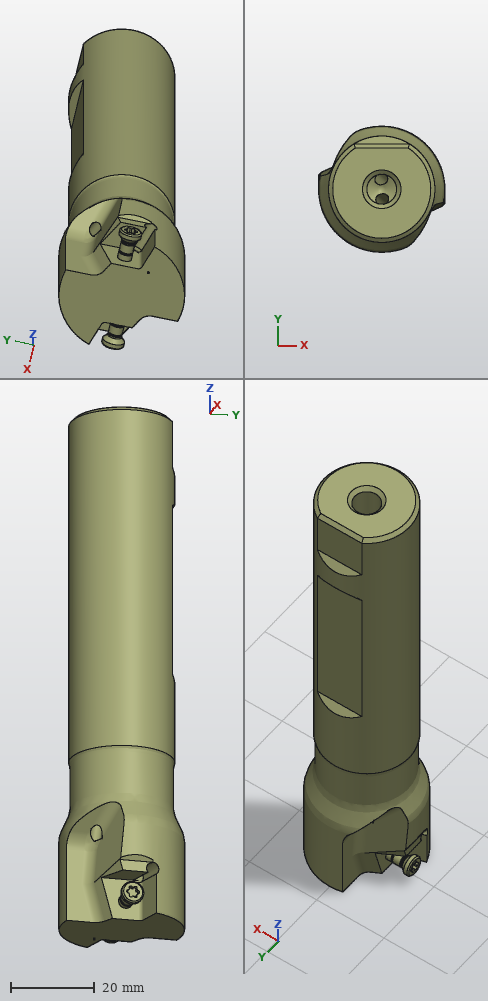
import cadquery as cq
import math

total_length = 128.57
bottom_z = 0.3
head_radius = 15.075
shank_radius = 12.7
neck_radius = 12.4
rim_height = 0.5
rim_depth = 0.1
head_top = 23.5
neck_bottom = 29.5
cone_round = 5.4
neck_top = 41.1
step_bottom = 41.95
step_bottom_radius = 12.45
step_top = 42.6
end_chamfer = 1.0
pip_center = (-7.3, -4.9)
pip_radius = 0.2

flat_y = 10.85
clamp_flat_bottom = 63.7
clamp_flat_top = 106.5
end_flat_bottom = 116.0

bore_radius = 3.55
bore_mouth_radius = 4.6
bore_bottom = 50.0
bore_tip_angle = 118.0
branch_radius = 1.5
branch_start_y = -2.3
branch_exit = cq.Vector(6.3, -8.0, 20.8)

gullet_floor_x = 3.7
gullet_ceiling_z = 20.55
gullet_corner_round = 5.8
upper_wall_point = (14.6, -4.1, 12.0)
upper_wall_slopes = (0.42, 0.08)
upper_wall_round = 3.0
lower_wall_point = (7.7, -4.2, 0.0)
lower_wall_slopes = (0.55, -0.27)
lower_wall_round = 3.0

seat_floor_x = 7.7
seat_top = 10.4
seat_back_y = 2.9
seat_back_taper = 17.0
seat_floor_round = 1.0
seat_corner_radius = 1.5
seat_corner_z = 11.4
seat_corner_inset = 0.9
relief_x = 14.25
relief_top = 13.0
relief_runout_top = 14.3
relief_back_y = 4.0

screw_y = -1.07
screw_z = 4.85
screw_radius = 1.7
screw_tip_x = 2.5
screw_cone_bottom_x = 12.6
screw_head_radius = 2.7
screw_head_bottom_x = 13.7
screw_head_bevel = 0.35
groove_depth = 0.25
groove_width = 0.4
groove_positions = (9.2, 11.8)
socket_radius = 1.15
socket_lobe_radius = 0.4
socket_lobes = 6
socket_depth = 1.2

reach = 40.0


def both_sides(shape):
    """The +X shape and its copy turned half a revolution to the -X side."""
    return [shape.rotate((0, 0, 0), (0, 0, 1), angle) for angle in (0, 180)]


def make_blank():
    """Shank, neck and head as one turned shape."""
    blank = (
        cq.Workplane("XZ")
        .polyline([
            (0, bottom_z),
            (head_radius - rim_depth, bottom_z),
            (head_radius, bottom_z + rim_height),
            (head_radius, head_top),
            (neck_radius, neck_bottom),
            (neck_radius, neck_top),
            (step_bottom_radius, step_bottom),
            (shank_radius, step_top),
            (shank_radius, total_length),
            (0, total_length),
        ])
        .close()
        .revolve(360, (0, 0, 0), (0, 1, 0))
    )
    margin = 0.1
    cone_zone = cq.selectors.BoxSelector(
        (-reach, -reach, head_top - margin),
        (reach, reach, neck_bottom + margin),
    )
    return blank.edges(cone_zone).edges("%CIRCLE").fillet(cone_round)


def make_pip():
    """Tiny pip under the end face."""
    return cq.Workplane("XY").center(*pip_center).circle(pip_radius).extrude(bottom_z)


def flat_cutter(bottom, top, top_runout):
    depth = shank_radius - flat_y
    return (
        cq.Workplane("YZ")
        .polyline([
            (flat_y, bottom),
            (flat_y, top),
            (flat_y + depth, top + top_runout * depth),
            (flat_y + depth, bottom - depth),
        ])
        .close()
        .extrude(shank_radius, both=True)
    )


def bore_cutter():
    tip = bore_radius / math.tan(math.radians(bore_tip_angle / 2))
    mouth = bore_mouth_radius - bore_radius
    return (
        cq.Workplane("XZ")
        .polyline([
            (0, bore_bottom - tip),
            (bore_radius, bore_bottom),
            (bore_radius, total_length - mouth),
            (bore_mouth_radius, total_length),
            (0, total_length),
        ])
        .close()
        .revolve(360, (0, 0, 0), (0, 1, 0))
    )


def branch_cutter():
    start = cq.Vector(0, branch_start_y, bore_bottom)
    path = branch_exit - start
    return cq.Workplane(obj=cq.Solid.makeCylinder(branch_radius, path.Length, start, path))


def gullet_cutter(wall_point, wall_slopes, wall_round):
    """Gullet space in front of one leaning wall, rounded where it meets floor and ceiling."""
    slope_x, slope_z = wall_slopes
    rise = reach - gullet_floor_x
    corner = (gullet_floor_x, -reach / 2, gullet_ceiling_z)
    block = (
        cq.Workplane("XZ")
        .polyline([
            (gullet_floor_x, -reach),
            (gullet_floor_x, gullet_ceiling_z),
            (reach, gullet_ceiling_z + rise),
            (reach, -reach),
        ])
        .close()
        .extrude(reach)
        .edges(cq.selectors.NearestToPointSelector(corner))
        .fillet(gullet_corner_round)
    )
    wall = cq.Plane(origin=wall_point, xDir=(1, slope_x, 0), normal=(slope_x, -1, slope_z))
    behind_wall = cq.Workplane(wall).rect(4 * reach, 4 * reach).extrude(-2 * reach)
    root_y = wall_point[1] + slope_x * (gullet_floor_x - wall_point[0]) - slope_z * wall_point[2]
    root = cq.selectors.NearestToPointSelector((gullet_floor_x, root_y, 0))
    return block.cut(behind_wall).edges(root).fillet(wall_round)


def seat_cutter():
    """Insert seat with a flat floor and a tapered back wall."""
    taper_rise = (reach - seat_floor_x) * math.tan(math.radians(seat_back_taper))
    back_edge = cq.selectors.NearestToPointSelector((seat_floor_x, seat_back_y, seat_top / 2))
    return (
        cq.Workplane("XY")
        .polyline([
            (seat_floor_x, -reach),
            (seat_floor_x, seat_back_y),
            (reach, seat_back_y + taper_rise),
            (reach, -reach),
        ])
        .close()
        .extrude(seat_top)
        .edges(back_edge)
        .fillet(seat_floor_round)
    )


def seat_corner_cutter():
    """Round clearance along the upper edge of the seat's back wall."""
    taper = math.radians(seat_back_taper)
    start = cq.Vector(seat_floor_x, seat_back_y - seat_corner_inset, seat_corner_z)
    direction = cq.Vector(math.cos(taper), math.sin(taper), 0)
    return cq.Workplane(obj=cq.Solid.makeCylinder(seat_corner_radius, reach, start, direction))


def relief_cutter():
    """Flat on the head's side above the seat, running out to the full head radius."""
    return (
        cq.Workplane("XZ", origin=(0, relief_back_y, 0))
        .polyline([
            (relief_x, 0),
            (relief_x, relief_top),
            (head_radius, relief_runout_top),
            (reach, relief_runout_top),
            (reach, 0),
        ])
        .close()
        .extrude(reach)
    )


def screw_hole_cutter():
    return (
        cq.Workplane("YZ", origin=(screw_tip_x, screw_y, screw_z))
        .circle(screw_radius)
        .extrude(reach)
    )


def make_holder():
    holder = make_blank()
    holder = holder.cut(flat_cutter(clamp_flat_bottom, clamp_flat_top, 1))
    holder = holder.cut(flat_cutter(end_flat_bottom, total_length, 0))
    holder = holder.faces(">Z").chamfer(end_chamfer)
    holder = holder.cut(bore_cutter())
    side_cutters = [
        gullet_cutter(upper_wall_point, upper_wall_slopes, upper_wall_round),
        gullet_cutter(lower_wall_point, lower_wall_slopes, lower_wall_round),
        seat_cutter(),
        seat_corner_cutter(),
        relief_cutter(),
        screw_hole_cutter(),
        branch_cutter(),
    ]
    for side_cutter in side_cutters:
        for cutter in both_sides(side_cutter):
            holder = holder.cut(cutter)
    return holder.union(make_pip())


def make_screw():
    """Insert screw with a grooved shank, a cone under the head and a lobed socket."""
    groove_radius = screw_radius - groove_depth
    outline = [(screw_tip_x, 0), (screw_tip_x, screw_radius)]
    for start in groove_positions:
        end = start + groove_width
        outline += [
            (start, screw_radius),
            (start, groove_radius),
            (end, groove_radius),
            (end, screw_radius),
        ]
    outline += [
        (screw_cone_bottom_x, screw_radius),
        (screw_head_bottom_x, screw_head_radius),
        (head_radius - screw_head_bevel, screw_head_radius),
        (head_radius, screw_head_radius - screw_head_bevel),
        (head_radius, 0),
    ]
    screw = cq.Workplane("XY").polyline(outline).close().revolve(360, (0, 0, 0), (1, 0, 0))
    head_face = cq.Workplane("YZ", origin=(head_radius, 0, 0))
    socket = head_face.circle(socket_radius).extrude(-socket_depth)
    lobes = (
        head_face.polarArray(socket_radius, 0, 360, socket_lobes)
        .circle(socket_lobe_radius)
        .extrude(-socket_depth)
    )
    return screw.cut(socket).cut(lobes).translate((0, screw_y, screw_z))


holder = make_holder()
screws = both_sides(make_screw())

result = cq.Compound.makeCompound([
    holder.solids().val(),
    *[screw.solids().val() for screw in screws],
])